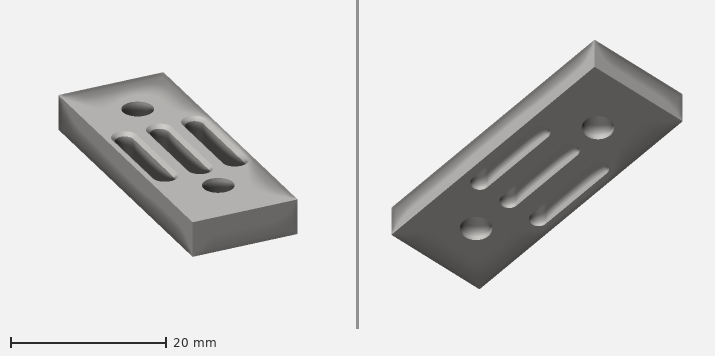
import cadquery as cq

length = 40.0
width = 15.0
thickness = 5.0

hole_diameter = 4.2
hole_spacing = 24.0

slot_count = 3
slot_pitch = width / slot_count
slot_width = slot_pitch / 2
slot_straight_length = 12.0
slot_length = slot_straight_length + slot_width
slot_center_x = 0.5
slot_chamfer = slot_width / 5


def slot_cutter():
    """One slot through the plate, flared by a chamfer at the top face."""
    top = thickness / 2
    straight = (
        cq.Workplane("XY")
        .workplane(offset=-top)
        .slot2D(slot_length, slot_width)
        .extrude(thickness)
    )
    mouth = (
        cq.Workplane("XY")
        .workplane(offset=top)
        .slot2D(slot_length + 2 * slot_chamfer, slot_width + 2 * slot_chamfer)
        .extrude(-slot_chamfer, taper=45)
    )
    return straight.union(mouth)


result = cq.Workplane("XY").box(length, width, thickness)

result = (
    result.faces(">Z")
    .workplane()
    .rarray(hole_spacing, 0.4, 2, 1)
    .hole(hole_diameter)
)

for index in range(slot_count):
    slot_center_y = (index - (slot_count - 1) / 2) * slot_pitch
    result = result.cut(slot_cutter().translate((slot_center_x, slot_center_y, 0)))